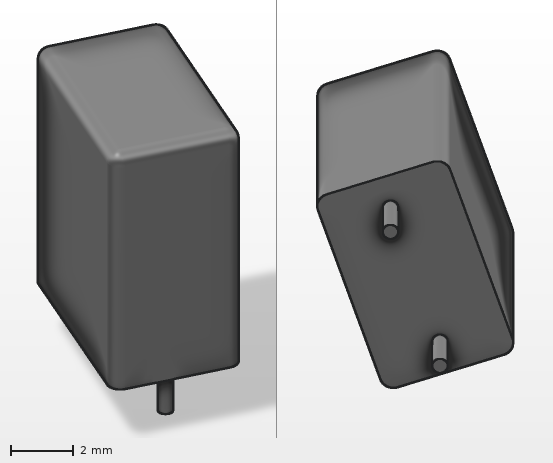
import cadquery as cq

total_height = 10.9
body_length = 7.2
body_width = 4.5
edge_radius = 0.45

lead_length = 1.9
lead_diameter = 0.5
lead_spacing = 5.0

body_height = total_height - lead_length

body = (
    cq.Workplane("XY")
    .box(body_length, body_width, body_height, centered=(True, True, False))
    .edges("|Z or >Z")
    .fillet(edge_radius)
)

leads = (
    cq.Workplane("XY")
    .pushPoints([(-lead_spacing / 2, 0), (lead_spacing / 2, 0)])
    .circle(lead_diameter / 2)
    .extrude(-lead_length)
)

result = body.union(leads)